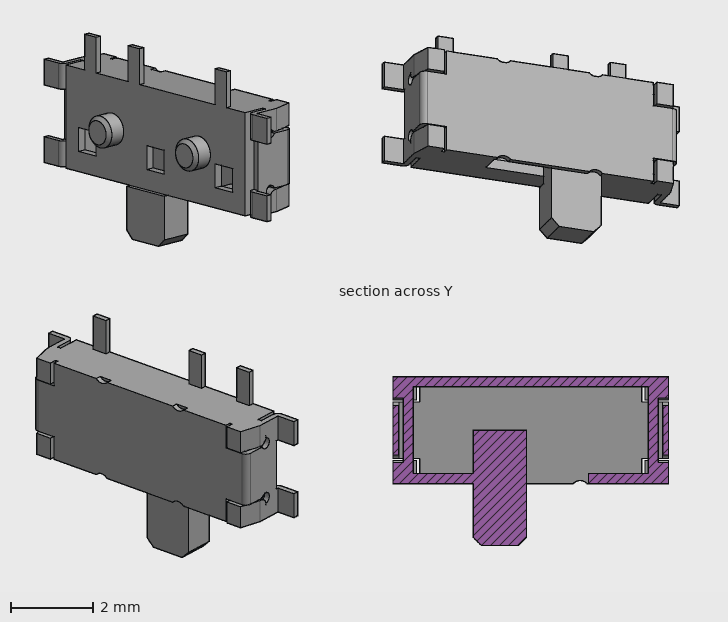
import cadquery as cq


body_width = 6.2
body_height = 2.6
body_depth = 1.35
half_width = body_width / 2
half_height = body_height / 2

sheet = 0.15
cover_inner = body_depth - sheet
cover_outer_x = 3.35
panel_inner_x = cover_outer_x - sheet
panel_bottom = 0.2
panel_round = 0.15
panel_half_height = 0.69
gap_depth = 0.6

lug_top = 1.4
lug_inner_x = 2.77
lug_crest_x = panel_inner_x
lug_slant_start = 0.83
lug_inner_z = 0.73
lug_round = 0.2
lug_slit = 0.07
relief_radius = 0.14
relief_y = 0.62
relief_z = 0.74

notch_x = 1.2
notch_half_width = 0.17
notch_depth = 0.075

leg_span = 7.7
leg_height = 0.65
leg_bend_radius = 0.15

terminal_xs = (-2.25, -0.75, 2.25)
terminal_width = 0.4
terminal_length = 0.9

peg_xs = (-1.5, 1.5)
peg_radius = 0.4
peg_length = 0.5
peg_chamfer = 0.1

window_xs = (-2.36, 0, 2.36)
window_size = 0.6
window_z = -0.49

front_wall = 0.22
side_wall = 0.25
cavity_half_width = half_width - side_wall
cavity_half_height = half_height - side_wall
slot_front = 0.66
slot_half_width = 1.4
slider_top = 0

knob_width = 1.3
knob_left = -slot_half_width
knob_right = knob_left + knob_width
knob_front = 0.4
knob_length = 1.5
neck_length = 0.2
knob_chamfer = 0.2


def block(x0, x1, y0, y1, z0, z1):
    """Box between two opposite corners."""
    return cq.Workplane("XY").box(x1 - x0, y1 - y0, z1 - z0, centered=False).translate((x0, y0, z0))


def both_ends(shape):
    """The shape together with its mirror image in X."""
    return shape.union(shape.mirror("YZ"))


def top_and_bottom(shape):
    """The shape together with its mirror image in Z."""
    return shape.union(shape.mirror("XY"))


def make_housing():
    housing = block(-half_width, half_width, 0, body_depth, -half_height, half_height)
    cavity = block(
        -cavity_half_width, cavity_half_width,
        front_wall, cover_inner,
        -cavity_half_height, cavity_half_height,
    )
    slot = block(-slot_half_width, slot_half_width, slot_front, cover_inner, -half_height, slider_top)
    housing = housing.cut(cavity).cut(slot)
    half_window = window_size / 2
    for x in window_xs:
        window = block(
            x - half_window, x + half_window,
            0, front_wall,
            window_z - half_window, window_z + half_window,
        )
        housing = housing.cut(window)
    return housing


def make_end_panel():
    """Cover sheet bent down over the -X end, leaving a narrow gap to the housing."""
    skirt = block(-cover_outer_x, -panel_inner_x, panel_bottom, gap_depth, -half_height, half_height)
    panel = block(
        -cover_outer_x, -panel_inner_x,
        gap_depth, body_depth,
        -panel_half_height, panel_half_height,
    )
    bridge = block(
        -panel_inner_x, -half_width,
        cover_inner, body_depth,
        -panel_half_height, panel_half_height,
    )
    panel = panel.union(bridge).edges("<X and >Y").fillet(panel_round)
    return skirt.union(panel)


def make_relief():
    """Round bend relief through the sheet at the upper corner of the -X panel."""
    return (
        cq.Workplane("YZ", origin=(-cover_outer_x, 0, 0))
        .center(relief_y, relief_z)
        .circle(relief_radius)
        .extrude(sheet)
    )


def make_lug():
    """Moulded corner lug at the -X, +Z corner, with a slanted outer face."""
    lug = (
        cq.Workplane("XY", origin=(0, 0, lug_inner_z))
        .moveTo(-cover_outer_x, gap_depth)
        .lineTo(-cover_outer_x, lug_slant_start)
        .lineTo(-lug_crest_x, lug_top)
        .lineTo(-lug_inner_x, lug_top)
        .lineTo(-lug_inner_x, cover_inner)
        .lineTo(-half_width, cover_inner)
        .lineTo(-half_width, gap_depth)
        .close()
        .extrude(half_height - lug_inner_z)
    )
    return lug.edges("<Y and <Z").fillet(lug_round)


def make_leg():
    """Solder leg at the -X, +Z corner, bent outwards at the mounting face."""
    leg = block(-cover_outer_x, -panel_inner_x, 0, gap_depth, leg_height, half_height)
    foot = block(-leg_span / 2, -cover_outer_x, 0, sheet, leg_height, half_height)
    return leg.union(foot).edges(">X and <Y").fillet(leg_bend_radius)


def cut_cover(housing):
    """Clear the cover sheet around the lugs and notch its long edges."""
    clearance = block(
        -half_width, -lug_inner_x + lug_slit,
        cover_inner, body_depth,
        panel_half_height, half_height,
    )
    notch = (
        cq.Workplane("XZ", origin=(-notch_x, body_depth, half_height))
        .moveTo(-notch_half_width, 0)
        .threePointArc((0, -notch_depth), (notch_half_width, 0))
        .close()
        .extrude(sheet)
    )
    return housing.cut(both_ends(top_and_bottom(clearance.union(notch))))


def make_terminal(x):
    half = terminal_width / 2
    return block(x - half, x + half, 0, sheet, half_height, half_height + terminal_length)


def make_peg(x):
    peg = cq.Workplane("XZ", origin=(x, 0, 0)).circle(peg_radius).extrude(peg_length)
    return peg.faces("<Y").chamfer(peg_chamfer)


def make_actuator():
    """Slider in the slot, a neck through the wall and a thicker finger below."""
    neck_end = -half_height - neck_length
    slider = block(knob_left, knob_right, slot_front, cover_inner, neck_end, slider_top)
    finger = block(knob_left, knob_right, knob_front, cover_inner, -half_height - knob_length, neck_end)
    finger = finger.faces("<Z").edges("|Y").chamfer(knob_chamfer)
    return slider.union(finger)


metal_end = make_end_panel().union(top_and_bottom(make_leg())).cut(top_and_bottom(make_relief()))
end_parts = metal_end.union(top_and_bottom(make_lug()))

result = cut_cover(make_housing()).union(both_ends(end_parts)).union(make_actuator())
for terminal_x in terminal_xs:
    result = result.union(make_terminal(terminal_x))
for peg_x in peg_xs:
    result = result.union(make_peg(peg_x))